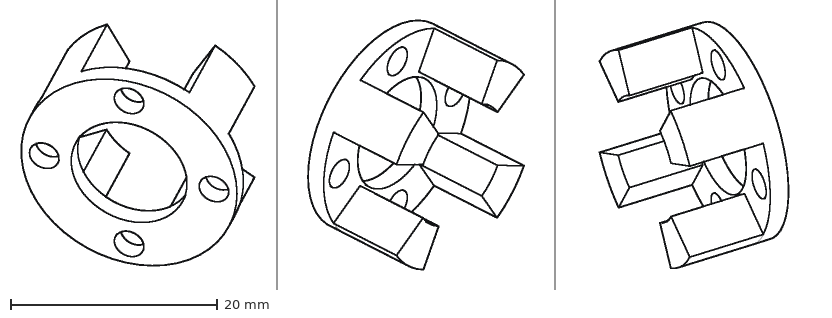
import cadquery as cq
import math

OUTER_RADIUS = 11.0
BORE_RADIUS = 5.9
TOTAL_DEPTH = 10.0
FLANGE_THICKNESS = 2.0
HOLE_DIAMETER = 3.0
HOLE_CIRCLE_RADIUS = 8.65
CLAW_INNER_RADIUS = 6.42
CLAW_SPAN = 30.0
FIRST_CLAW_ANGLE = 45.0
COUNT = 4


def polar_point(radius, angle):
    """Point at an angle in degrees about the part axis."""
    radians = math.radians(angle)
    return (radius * math.cos(radians), radius * math.sin(radians))


def make_flange():
    return (
        cq.Workplane("XZ")
        .circle(OUTER_RADIUS)
        .circle(BORE_RADIUS)
        .polarArray(HOLE_CIRCLE_RADIUS, 0, 360, COUNT)
        .circle(HOLE_DIAMETER / 2)
        .extrude(-FLANGE_THICKNESS)
    )


def make_claw(middle):
    """Ring sector on the flange, centred on the angle `middle`."""
    start = middle - CLAW_SPAN / 2
    end = middle + CLAW_SPAN / 2
    return (
        cq.Workplane("XZ", origin=(0, FLANGE_THICKNESS, 0))
        .moveTo(*polar_point(CLAW_INNER_RADIUS, start))
        .lineTo(*polar_point(OUTER_RADIUS, start))
        .threePointArc(polar_point(OUTER_RADIUS, middle), polar_point(OUTER_RADIUS, end))
        .lineTo(*polar_point(CLAW_INNER_RADIUS, end))
        .threePointArc(
            polar_point(CLAW_INNER_RADIUS, middle), polar_point(CLAW_INNER_RADIUS, start)
        )
        .close()
        .extrude(FLANGE_THICKNESS - TOTAL_DEPTH)
    )


result = make_flange()
for index in range(COUNT):
    result = result.union(make_claw(FIRST_CLAW_ANGLE + index * 360 / COUNT))